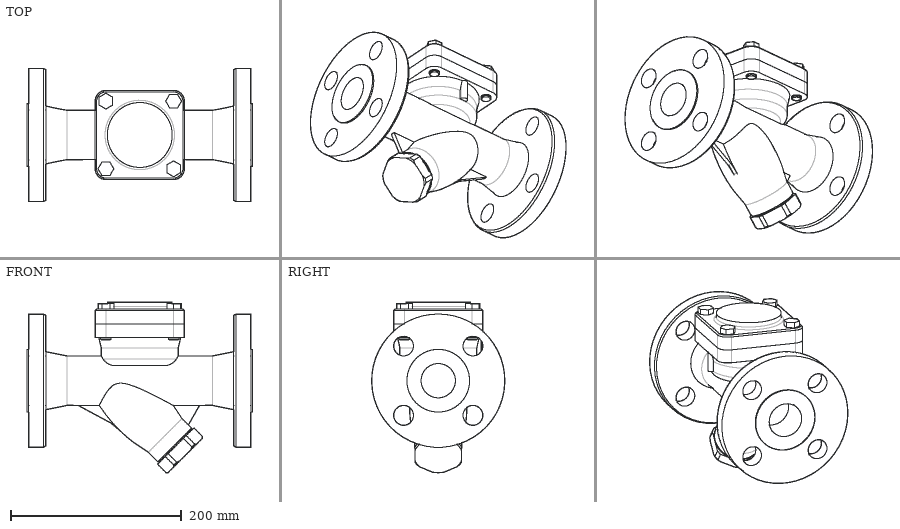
import cadquery as cq
import math

LENGTH = 264.0

HEX_HALF_ANGLE = 30.0

PIPE_RADIUS = 58.0 / 2
BORE_RADIUS = 40.0 / 2
FLANGE_RADIUS = 156.0 / 2
FLANGE_THICKNESS = 20.3
FLANGE_CHAMFER_LENGTH = 2.6
FLANGE_CHAMFER_DEPTH = 1.5
FACE_RADIUS = 73.5 / 2
FACE_HEIGHT = 1.8
NECK_RADIUS = 34.0
NECK_LENGTH = 24.8
STUD_HOLE_DIAMETER = 23.0
STUD_HOLE_SPACING = 81.0

SQUARE_SIDE = 104.5
SQUARE_CORNER = 12.7
SQUARE_BOTTOM = 50.5
JOINT_HEIGHT = 66.3
COVER_TOP = 84.0
COVER_CHAMFER = 1.8

DISC_RADIUS = 76.0 / 2
DISC_TOP = 92.0
DISC_FILLET = 2.6

BOLT_SPACING = 79.2
BOLT_OFFSET = BOLT_SPACING / 2
BOLT_CORNERS = 18.5
BOLT_HEAD_TOP = 90.3
BOLT_TIP_DIAMETER = 12.1
BOLT_TIP_LENGTH = 2.6
BOLT_TIP_CHAMFER = 1.0

BOWL_RADIUS = 45.1
BOWL_TOP_RADIUS = 48.0
BOWL_CONE_BOTTOM = 38.0
BOWL_BOTTOM = 17.7
BOWL_FILLET = 8.0
RIB_WIDTH = 9.0
RIB_REACH = 50.5

LEG_SLOPE = math.radians(45)
LEG_END_X = 41.0
LEG_END_Z = -75.2
COLLAR_RADIUS = 56.0 / 2
COLLAR_LENGTH = 15.8
LEG_LENGTH = 100.5
LEG_INNER_RADIUS = 28.5
LEG_BULGE_RADIUS = 33.5

PLUG_SEAT_RADIUS = 54.0 / 2
PLUG_SEAT_LENGTH = 1.5
HEX_ACROSS_FLATS = 54.6
HEX_CORNER_RADIUS = 30.0
HEX_HEIGHT = 15.8
HEX_CHAMFER = 1.5

WEB_THICKNESS = 5.0
WEB_LEFT_X = -72.0
WEB_RIGHT_X = 70.0
WEB_TOP_Z = -PIPE_RADIUS
WEB_BEND = (-33.8, -49.5)
WEB_LEG_LEFT = (-5.3, -73.5)
WEB_LEG_RIGHT = (57.8, -50.5)

FLANGE_OUTER_X = LENGTH / 2 - FACE_HEIGHT
FLANGE_INNER_X = FLANGE_OUTER_X - FLANGE_THICKNESS
NECK_END_X = FLANGE_INNER_X - NECK_LENGTH


def revolved_run():
    """Pipe with a conical neck, a flange and a raised face at each end."""
    half_outline = [
        (NECK_END_X, PIPE_RADIUS),
        (FLANGE_INNER_X, NECK_RADIUS),
        (FLANGE_INNER_X, FLANGE_RADIUS - FLANGE_CHAMFER_DEPTH),
        (FLANGE_INNER_X + FLANGE_CHAMFER_LENGTH, FLANGE_RADIUS),
        (FLANGE_OUTER_X, FLANGE_RADIUS),
        (FLANGE_OUTER_X, FACE_RADIUS),
        (LENGTH / 2, FACE_RADIUS),
        (LENGTH / 2, 0),
    ]
    mirrored_outline = [(-x, radius) for x, radius in reversed(half_outline)]
    outline = cq.Workplane("XZ").polyline(half_outline + mirrored_outline).close()
    return outline.revolve(360, (0, 0, 0), (1, 0, 0))


def end_bore(side):
    """Blind bore from one end of the pipe to the inner end of its neck."""
    depth = LENGTH / 2 - NECK_END_X
    start = side * LENGTH / 2
    return cq.Workplane("YZ", origin=(start, 0, 0)).circle(BORE_RADIUS).extrude(-side * depth)


def stud_holes(side):
    """Four stud holes through one end flange."""
    return (
        cq.Workplane("YZ", origin=(side * FLANGE_INNER_X, 0, 0))
        .rect(STUD_HOLE_SPACING, STUD_HOLE_SPACING, forConstruction=True)
        .vertices()
        .circle(STUD_HOLE_DIAMETER / 2)
        .extrude(side * FLANGE_THICKNESS)
    )


def square_block(bottom, top):
    """Square block with rounded vertical edges."""
    return (
        cq.Workplane("XY", origin=(0, 0, bottom))
        .rect(SQUARE_SIDE, SQUARE_SIDE)
        .extrude(top - bottom)
        .edges("|Z")
        .fillet(SQUARE_CORNER)
    )


def bowl():
    """Round bowl: a cone above a cylinder with a rounded lower edge."""
    fillet_centre_radius = BOWL_RADIUS - BOWL_FILLET
    fillet_top = BOWL_BOTTOM + BOWL_FILLET
    fillet_middle = BOWL_FILLET * math.sin(math.radians(45))
    return (
        cq.Workplane("XZ")
        .moveTo(0, BOWL_BOTTOM)
        .lineTo(fillet_centre_radius, BOWL_BOTTOM)
        .threePointArc(
            (fillet_centre_radius + fillet_middle, fillet_top - fillet_middle),
            (BOWL_RADIUS, fillet_top),
        )
        .lineTo(BOWL_RADIUS, BOWL_CONE_BOTTOM)
        .lineTo(BOWL_TOP_RADIUS, SQUARE_BOTTOM)
        .lineTo(0, SQUARE_BOTTOM)
        .close()
        .revolve(360, (0, 0, 0), (0, 1, 0))
    )


def bowl_rib():
    """Upright rib with a round nose on the rear of the bowl."""
    bottom = BOWL_BOTTOM + BOWL_FILLET
    nose_radius = RIB_WIDTH / 2
    return (
        cq.Workplane("XY", origin=(0, 0, bottom))
        .moveTo(-nose_radius, 0)
        .lineTo(-nose_radius, RIB_REACH - nose_radius)
        .threePointArc((0, RIB_REACH), (nose_radius, RIB_REACH - nose_radius))
        .lineTo(nose_radius, 0)
        .close()
        .extrude(SQUARE_BOTTOM - bottom)
    )


def bolt_tips():
    """Ends of the cover bolts below the square joint."""
    return (
        cq.Workplane("XY", origin=(0, 0, SQUARE_BOTTOM))
        .rect(BOLT_SPACING, BOLT_SPACING, forConstruction=True)
        .vertices()
        .circle(BOLT_TIP_DIAMETER / 2)
        .extrude(-BOLT_TIP_LENGTH)
        .faces("<Z")
        .chamfer(BOLT_TIP_CHAMFER)
    )


def leg_plane(distance):
    """Plane across the leg axis; its normal points out of the leg and its local Y is the part's Y."""
    axis = (math.cos(LEG_SLOPE), 0, -math.sin(LEG_SLOPE))
    origin = (LEG_END_X + distance * axis[0], 0, LEG_END_Z + distance * axis[2])
    return cq.Plane(origin=origin, xDir=(math.sin(LEG_SLOPE), 0, math.cos(LEG_SLOPE)), normal=axis)


def strainer_leg():
    """Barrel-shaped leg with a cylindrical collar and the seat of the plug at its end."""
    bulge_distance = (LEG_LENGTH + COLLAR_LENGTH) / 2
    plane = leg_plane(0).rotated((90, 0, 0))
    return (
        cq.Workplane(plane)
        .moveTo(0, -LEG_LENGTH)
        .lineTo(LEG_INNER_RADIUS, -LEG_LENGTH)
        .threePointArc((LEG_BULGE_RADIUS, -bulge_distance), (COLLAR_RADIUS, -COLLAR_LENGTH))
        .lineTo(COLLAR_RADIUS, 0)
        .lineTo(PLUG_SEAT_RADIUS, 0)
        .lineTo(PLUG_SEAT_RADIUS, PLUG_SEAT_LENGTH)
        .lineTo(0, PLUG_SEAT_LENGTH)
        .close()
        .revolve(360, (0, 0, 0), (0, 1, 0))
    )


def hexagon_plug():
    """Hexagon with turned-off corners and a chamfered end."""
    plane = leg_plane(PLUG_SEAT_LENGTH)
    across_corners = HEX_ACROSS_FLATS / math.cos(math.radians(HEX_HALF_ANGLE))
    hexagon = cq.Workplane(plane).polygon(6, across_corners).extrude(HEX_HEIGHT)
    turned = (
        cq.Workplane(plane)
        .circle(HEX_CORNER_RADIUS)
        .extrude(HEX_HEIGHT)
        .faces(cq.selectors.DirectionMinMaxSelector(plane.zDir))
        .chamfer(HEX_CHAMFER)
    )
    return hexagon.intersect(turned)


def web():
    """Flat web that stiffens the corners between the pipe and the leg."""
    return (
        cq.Workplane("XZ")
        .polyline([
            (WEB_LEFT_X, WEB_TOP_Z),
            WEB_BEND,
            WEB_LEG_LEFT,
            (LEG_END_X, LEG_END_Z),
            WEB_LEG_RIGHT,
            (WEB_RIGHT_X, WEB_TOP_Z),
            (0, 0),
        ])
        .close()
        .extrude(WEB_THICKNESS / 2, both=True)
    )


def make_housing():
    body = revolved_run()
    body = body.union(bowl()).union(bowl_rib())
    body = body.union(square_block(SQUARE_BOTTOM, JOINT_HEIGHT)).union(bolt_tips())
    body = body.union(strainer_leg()).union(hexagon_plug()).union(web())
    for side in (-1, 1):
        body = body.cut(end_bore(side)).cut(stud_holes(side))
    return body


def cover_disc():
    """Round disc whose foot flares into the cover with a concave fillet."""
    flare_radius = DISC_RADIUS + DISC_FILLET
    fillet_middle = DISC_FILLET * (1 - math.sin(math.radians(45)))
    return (
        cq.Workplane("XZ")
        .moveTo(0, COVER_TOP)
        .lineTo(flare_radius, COVER_TOP)
        .threePointArc(
            (DISC_RADIUS + fillet_middle, COVER_TOP + fillet_middle),
            (DISC_RADIUS, COVER_TOP + DISC_FILLET),
        )
        .lineTo(DISC_RADIUS, DISC_TOP)
        .lineTo(0, DISC_TOP)
        .close()
        .revolve(360, (0, 0, 0), (0, 1, 0))
    )


def bolt_head(side_x, side_y):
    """Hexagon bolt head; heads on one diagonal are turned by half a facet."""
    turn = 0 if side_x == side_y else HEX_HALF_ANGLE
    return (
        cq.Workplane("XY")
        .polygon(6, BOLT_CORNERS)
        .extrude(BOLT_HEAD_TOP - COVER_TOP)
        .rotate((0, 0, 0), (0, 0, 1), turn)
        .translate((side_x * BOLT_OFFSET, side_y * BOLT_OFFSET, COVER_TOP))
    )


def make_cover():
    body = square_block(JOINT_HEIGHT, COVER_TOP).faces(">Z").edges().chamfer(COVER_CHAMFER)
    body = body.union(cover_disc())
    for side_x in (-1, 1):
        for side_y in (-1, 1):
            body = body.union(bolt_head(side_x, side_y))
    return body


housing = make_housing()
cover = make_cover()
result = cq.Compound.makeCompound([housing.val(), cover.val()])